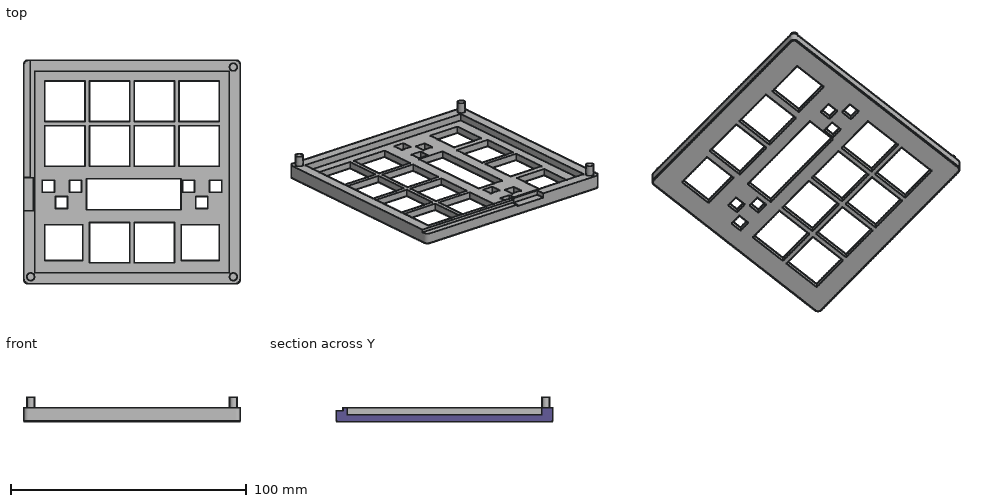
import cadquery as cq
body_length_x = 92.0
body_length_y = 95.0
body_height = 6.0
corner_radius = 2.0
bottom_edge_chamfer = 0.35

rim_width = 4.8
plate_thickness = 3.0

pin_diameter = 3.25
pin_height = 4.5
pin_inset = 3.0

notch_length_x = 4.0
notch_length_y = 14.0
notch_depth = 2.0
notch_top_y = -2.5

step_width = 2.875
step_depth = 1.25
sill_width = 0.25
sill_depth = 1.5

key_size = 17.0
key_pitch = 19.0
key_column_x = [(column - 1.5) * key_pitch for column in range(4)]
upper_row_y = [30.0, 30.0 - key_pitch]
lower_row_y = -30.0
corner_key_size_x = 16.0
corner_key_size_y = 15.0
corner_key_x = 29.0

display_size_x = 40.0
display_size_y = 13.0
display_x = 0.75
display_y = -9.5

button_size = 5.0
button_group_x = 29.75
button_spread_x = 5.75
button_upper_y = -6.1
button_lower_offset_x = -0.15
button_lower_y = -13.0

half_x = body_length_x / 2
half_y = body_length_y / 2


def make_body():
    """Rounded block with a chamfered bottom edge and a rectangular recess."""
    block = cq.Workplane("XY").box(body_length_x, body_length_y, body_height, centered=(True, True, False))
    block = block.edges("|Z").fillet(corner_radius)
    block = block.faces("<Z").edges().chamfer(bottom_edge_chamfer)
    recess = (
        cq.Workplane("XY", origin=(0, 0, plate_thickness))
        .rect(body_length_x - 2 * rim_width, body_length_y - 2 * rim_width)
        .extrude(body_height - plate_thickness)
    )
    return block.cut(recess)


def make_openings(centers, size_x, size_y):
    """Rectangular cutters through the plate at the given centres."""
    return cq.Workplane("XY").pushPoints(centers).rect(size_x, size_y).extrude(plate_thickness)


def cut_key_openings(part):
    """Full-size key openings, and smaller ones at the ends of the lower row."""
    key_centers = [(x, y) for x in key_column_x for y in upper_row_y]
    key_centers += [(x, lower_row_y) for x in key_column_x[1:3]]
    corner_centers = [(side * corner_key_x, lower_row_y) for side in (-1, 1)]
    part = part.cut(make_openings(key_centers, key_size, key_size))
    return part.cut(make_openings(corner_centers, corner_key_size_x, corner_key_size_y))


def cut_display_opening(part):
    """Wide opening between the two button groups."""
    return part.cut(make_openings([(display_x, display_y)], display_size_x, display_size_y))


def cut_button_openings(part):
    """Two upper openings and one lower opening in each button group."""
    centers = []
    for group_x in (-button_group_x, button_group_x):
        centers.append((group_x - button_spread_x, button_upper_y))
        centers.append((group_x + button_spread_x, button_upper_y))
        centers.append((group_x + button_lower_offset_x, button_lower_y))
    return part.cut(make_openings(centers, button_size, button_size))


def cut_left_rim(part, length_x, start_y, end_y, depth):
    """Lower the outer part of the -X rim between two Y positions."""
    cutter = cq.Workplane("XY").box(length_x, end_y - start_y, depth, centered=False)
    return part.cut(cutter.translate((-half_x, start_y, body_height - depth)))


def add_pins(part):
    """Round pins rising from the rim at every corner but the -X, +Y one."""
    pin_x = half_x - pin_inset
    pin_y = half_y - pin_inset
    pins = (
        cq.Workplane("XY", origin=(0, 0, plate_thickness))
        .pushPoints([(-pin_x, -pin_y), (pin_x, -pin_y), (pin_x, pin_y)])
        .circle(pin_diameter / 2)
        .extrude(body_height - plate_thickness + pin_height)
    )
    return part.union(pins)


sill_end_y = notch_top_y + sill_width

result = make_body()
result = cut_key_openings(result)
result = cut_display_opening(result)
result = cut_button_openings(result)
result = cut_left_rim(result, notch_length_x, notch_top_y - notch_length_y, notch_top_y, notch_depth)
result = cut_left_rim(result, step_width, sill_end_y, half_y, step_depth)
result = cut_left_rim(result, step_width, notch_top_y, sill_end_y, sill_depth)
result = add_pins(result)